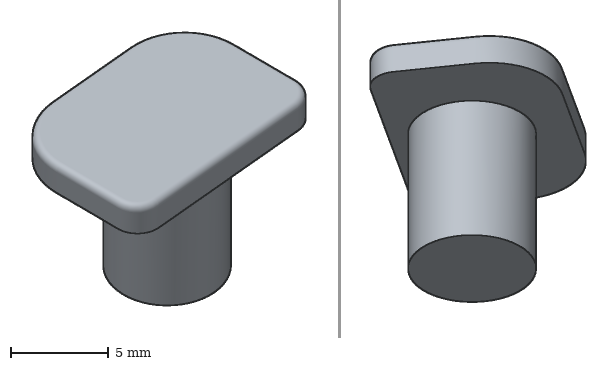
import cadquery as cq

head_length_x = 9.6
head_width_y = 13.6
head_thickness = 1.8
left_corner_radius = 3.82
right_corner_radius = 1.5
top_edge_fillet = 0.4

total_height = 9.9
post_diameter = 6.6
post_center_from_left = 5.32
post_length = total_height - head_thickness


def make_post():
    """Post standing on Z = 0, with its axis on the Z axis."""
    return cq.Workplane("XY").circle(post_diameter / 2).extrude(post_length)


def make_head():
    """Plate with large left corners, small right corners and a rounded top rim."""
    head_center_x = head_length_x / 2 - post_center_from_left
    plate = (
        cq.Workplane("XY", origin=(head_center_x, 0, post_length))
        .rect(head_length_x, head_width_y)
        .extrude(head_thickness)
    )
    plate = plate.edges("|Z and <X").fillet(left_corner_radius)
    plate = plate.edges("|Z and >X").fillet(right_corner_radius)
    return plate.faces(">Z").edges().fillet(top_edge_fillet)


result = make_post().union(make_head())